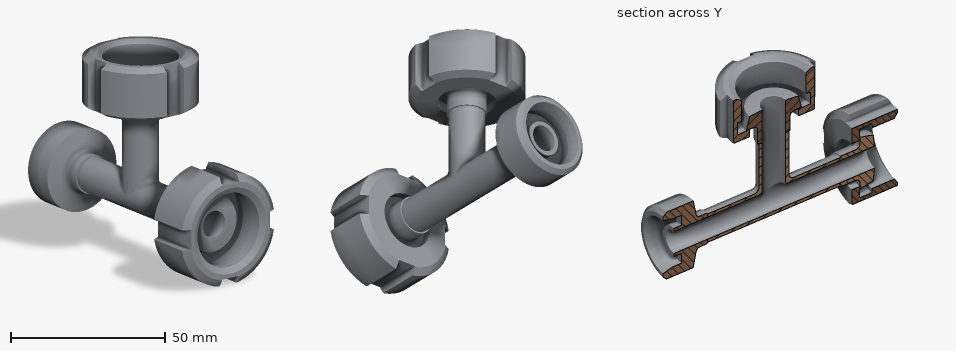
import cadquery as cq
import math


pipe_radius = 12.0 / 2
bore_radius = 9.0 / 2
leg_length = 26.0
crotch_fillet = 1.8

neck_radius = 13.0 / 2
neck_fillet = 1.5

male_tip = 43.5
male_radius = 28.0 / 2
male_chamfer = 1.5
male_rim_length = 12.0
male_back_slope = math.radians(10.5)
socket_radius = 19.8 / 2
socket_mouth_radius = 10.95
socket_taper_length = 3.9
socket_depth = 7.2
spigot_radius = pipe_radius
spigot_height = 2.9

nut_tip = 48.5
nut_length = 17.9
nut_radius = 38.0 / 2
nut_chamfer_width = 2.5
nut_chamfer_height = 1.5
nut_floor_thickness = 3.0
nut_hole_radius = 19.0 / 2
thread_radius = 25.1 / 2
thread_depth = 10.1
relief_radius = 28.4 / 2
mouth_radius = 14.5
mouth_depth = 1.3
slot_count = 4
slot_width = 6.9
slot_floor_radius = 15.9

nose_depth = 9.0
nose_ring_radius = 5.5
nose_tip_radius = 9.6
nose_face_drop = 0.5
nose_base_radius = 10.95

nut_back = nut_tip - nut_length
nut_floor = nut_back + nut_floor_thickness
nose_face = nut_tip - nose_depth


def turned(profile):
    """Solid of revolution about Z of an open profile drawn as (radius, height)."""
    return profile.close().revolve(360, (0, 0, 0), (0, 1, 0)).rotate((0, 0, 0), (1, 0, 0), 90)


def onto_plus_x(body):
    return body.rotate((0, 0, 0), (0, 1, 0), 90)


def onto_minus_x(body):
    return body.rotate((0, 0, 0), (0, 1, 0), -90)


def make_tee_rod(radius):
    """Round run along X joined by a branch of the same radius along +Z."""
    run = onto_plus_x(cq.Workplane("XY").circle(radius).extrude(leg_length, both=True))
    branch = cq.Workplane("XY").circle(radius).extrude(leg_length)
    return run.union(branch)


def make_tee():
    outside = make_tee_rod(pipe_radius).edges("%ELLIPSE").fillet(crotch_fillet)
    return outside.cut(make_tee_rod(bore_radius))


def make_male_end():
    rim_back = male_tip - male_rim_length
    neck_top = rim_back - (male_radius - neck_radius) * math.tan(male_back_slope)
    socket_floor = male_tip - socket_depth
    spigot_top = socket_floor + spigot_height
    profile = (
        cq.Workplane("XY")
        .moveTo(bore_radius, leg_length)
        .lineTo(neck_radius, leg_length)
        .lineTo(neck_radius, neck_top)
        .lineTo(male_radius, rim_back)
        .lineTo(male_radius, male_tip - male_chamfer)
        .lineTo(male_radius - male_chamfer, male_tip)
        .lineTo(socket_mouth_radius, male_tip)
        .lineTo(socket_radius, male_tip - socket_taper_length)
        .lineTo(socket_radius, socket_floor)
        .lineTo(spigot_radius, socket_floor)
        .lineTo(spigot_radius, spigot_top)
        .lineTo(bore_radius, spigot_top)
    )
    neck_corner = cq.selectors.NearestToPointSelector((0, 0, neck_top))
    return turned(profile).edges(neck_corner).fillet(neck_fillet)


def make_liner():
    profile = (
        cq.Workplane("XY")
        .moveTo(bore_radius, leg_length)
        .lineTo(neck_radius, leg_length)
        .lineTo(neck_radius, nut_floor - neck_fillet)
        .radiusArc((neck_radius + neck_fillet, nut_floor), neck_fillet)
        .lineTo(nose_base_radius, nut_floor)
        .lineTo(nose_tip_radius, nose_face - nose_face_drop)
        .lineTo(nose_ring_radius, nose_face)
        .lineTo(bore_radius, nose_face)
    )
    return turned(profile)


def make_nut():
    thread_end = nut_tip - thread_depth
    profile = (
        cq.Workplane("XY")
        .moveTo(nut_hole_radius, nut_back)
        .lineTo(nut_radius - nut_chamfer_width, nut_back)
        .lineTo(nut_radius, nut_back + nut_chamfer_height)
        .lineTo(nut_radius, nut_tip - nut_chamfer_height)
        .lineTo(nut_radius - nut_chamfer_width, nut_tip)
        .lineTo(mouth_radius, nut_tip)
        .lineTo(thread_radius, nut_tip - mouth_depth)
        .lineTo(thread_radius, thread_end)
        .lineTo(relief_radius, thread_end)
        .lineTo(relief_radius, nut_floor)
        .lineTo(nut_hole_radius, nut_floor)
    )
    cutter_depth = nut_radius
    slots = (
        cq.Workplane("XY", origin=(0, 0, nut_back))
        .polarArray(slot_floor_radius + cutter_depth / 2, 0, 360, slot_count)
        .rect(cutter_depth, slot_width)
        .extrude(nut_length)
    )
    return turned(profile).cut(slots)


def on_nut_legs(make_body):
    """One copy of a body on the +Z leg and one on the +X leg."""
    copies = []
    for onto_leg in (lambda body: body, onto_plus_x):
        copies.append(onto_leg(make_body()))
    return copies


tee = make_tee()
male_end = onto_minus_x(make_male_end())
liners = on_nut_legs(make_liner)
nuts = on_nut_legs(make_nut)

bodies = [tee, male_end, *liners, *nuts]
result = cq.Compound.makeCompound([body.val() for body in bodies])